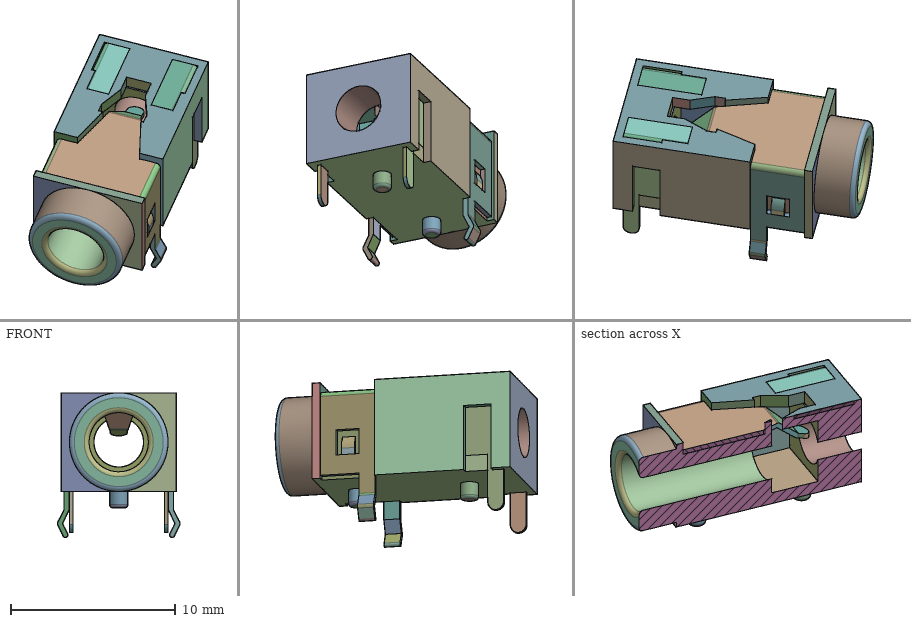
import cadquery as cq
import math


length = 14.9
body_width = 7.0
body_height = 6.0
barrel_length = 2.5
flange_back_y = 3.0
block_front_y = 6.39
mid_z = body_height / 2
barrel_radius = body_height / 2
mouth_round = 0.3
front_bore_radius = 1.8
rear_bore_radius = 1.5

peg_radius = 0.559
peg_length = 1.0
peg_round = 0.2
peg_ys = (4.5, 11.5)

sheet = 0.31
shell_width = 6.68
shell_top_z = 5.5
shell_bottom_z = 0.22
shell_bend_radius = sheet
core_width = shell_width - 2 * sheet
core_top_z = shell_top_z - sheet

tongue_root_half = 2.0
tongue_tip_half = 0.52
tongue_bend_y = 9.52
tongue_bend_radius = 0.22
tongue_crease_radius = sheet
tongue_crease_y = 11.05
tongue_end_y = 11.95
tongue_slope = 43.5
tip_slope = 20.0

leg_width = 1.0
leg_bend_z = -1.13
leg_knee_x = 3.59
leg_knee_z = -1.95
leg_foot_x = 3.25
leg_bottom_z = -2.8
leg_bend_radius = 0.27

opening_y = (3.96, 5.4)
opening_z = (1.45, 3.02)
latch_y = (4.29, 5.11)
latch_shoulder_z = 1.85
latch_top_z = 2.62

notch_end_half = 1.22
window_front_y = 8.91
window_left_x = -1.5
window_left_y = 9.46
window_right_x = 1.39
window_right_y = 9.58
window_narrow_half = 0.79
window_narrow_y = 11.01
window_back_y = 12.08
chamber_back_y = 11.98
chamber_half_width = 2.77
chamber_top_z = core_top_z

contact_thickness = 0.24
contact_outer_x = 3.01
contact_bend_radius = 0.3
contact_back_y = 14.38
pad_inner_x = 1.37
pad_front_y = 10.4
plate_front_y = chamber_back_y
plate_bottom_z = 1.0
pin_width = 1.0
pin_bottom_z = -2.5

recess_back_y = 13.7
recess_height = 4.02


def block(x_range, y_range, z_range):
    """Box between two limits along each axis."""
    (x0, x1), (y0, y1), (z0, z1) = x_range, y_range, z_range
    return cq.Workplane("XY").box(x1 - x0, y1 - y0, z1 - z0, centered=False).translate((x0, y0, z0))


def centred_block(width, y_range, z_range):
    """Box that straddles the mirror plane."""
    return block((-width / 2, width / 2), y_range, z_range)


def y_cylinder(radius, start_y, end_y):
    """Cylinder on the jack axis."""
    return cq.Workplane("XZ", origin=(0, start_y, mid_z)).circle(radius).extrude(start_y - end_y)


def both_sides(right_part):
    """The given +X solid together with its mirror image."""
    return [right_part, right_part.mirror("YZ")]


def tongue_plan(height):
    """Tapered tongue outline with a round tip, extruded up from Z = 0."""
    round_y = tongue_end_y - tongue_tip_half
    return (
        cq.Workplane("XY")
        .moveTo(-tongue_root_half, block_front_y)
        .lineTo(-tongue_tip_half, tongue_crease_y)
        .lineTo(-tongue_tip_half, round_y)
        .threePointArc((0, tongue_end_y), (tongue_tip_half, round_y))
        .lineTo(tongue_tip_half, tongue_crease_y)
        .lineTo(tongue_root_half, block_front_y)
        .close()
        .extrude(height)
    )


def make_tongue():
    """Flat root, steep drop into the bore, then a shallow tip; side profile trimmed to the plan."""
    steep = math.radians(tongue_slope)
    shallow = math.radians(tip_slope)
    crease_z = shell_top_z - (tongue_crease_y - tongue_bend_y) * math.tan(steep)
    end_z = crease_z - (tongue_end_y - tongue_crease_y) * math.tan(shallow)
    bend_shift = sheet * math.tan(steep / 2)
    mean_slope = (steep + shallow) / 2
    crease_offset = sheet / math.cos((steep - shallow) / 2)
    lower_crease = (
        tongue_crease_y - crease_offset * math.sin(mean_slope),
        crease_z - crease_offset * math.cos(mean_slope),
    )
    profile = (
        cq.Workplane("YZ")
        .moveTo(block_front_y, shell_top_z)
        .lineTo(tongue_bend_y, shell_top_z)
        .lineTo(tongue_crease_y, crease_z)
        .lineTo(tongue_end_y, end_z)
        .lineTo(tongue_end_y, end_z - sheet / math.cos(shallow))
        .lineTo(*lower_crease)
        .lineTo(tongue_bend_y - bend_shift, core_top_z)
        .lineTo(block_front_y, core_top_z)
        .close()
        .extrude(tongue_root_half, both=True)
    )
    bend_edge = cq.selectors.NearestToPointSelector((0, tongue_bend_y, shell_top_z))
    profile = profile.edges("|X").edges(bend_edge).fillet(tongue_bend_radius)
    crease_edge = cq.selectors.NearestToPointSelector((0, *lower_crease))
    profile = profile.edges("|X").edges(crease_edge).fillet(tongue_crease_radius)
    return profile.intersect(tongue_plan(body_height))


def make_leg():
    """Right-hand leg: drops from the shell side, kinks outward at the knee and back in at the foot."""
    outer_x = shell_width / 2
    inner_x = outer_x - sheet
    half_sheet = sheet / 2
    foot_z = leg_bottom_z + half_sheet
    foot_angle = math.atan2(leg_knee_x - leg_foot_x, leg_knee_z - foot_z)
    across = (half_sheet * math.cos(foot_angle), -half_sheet * math.sin(foot_angle))
    half_slant = half_sheet / math.cos(foot_angle)
    outer_bend = (outer_x, leg_bend_z)
    outer_knee = (leg_knee_x + half_slant, leg_knee_z)
    leg = (
        cq.Workplane("XZ", origin=(0, block_front_y, 0))
        .moveTo(inner_x, shell_bottom_z)
        .lineTo(inner_x, leg_bend_z)
        .lineTo(leg_knee_x - half_slant, leg_knee_z)
        .lineTo(leg_foot_x - across[0], foot_z - across[1])
        .threePointArc(
            (leg_foot_x + across[1], foot_z - across[0]),
            (leg_foot_x + across[0], foot_z + across[1]),
        )
        .lineTo(*outer_knee)
        .lineTo(*outer_bend)
        .lineTo(outer_x, shell_bottom_z)
        .close()
        .extrude(leg_width)
    )
    mid_y = block_front_y - leg_width / 2
    for x, z in (outer_bend, outer_knee):
        bend_edge = cq.selectors.NearestToPointSelector((x, mid_y, z))
        leg = leg.edges("|Y").edges(bend_edge).fillet(leg_bend_radius)
    return leg


def make_shell():
    span_y = (flange_back_y, block_front_y)
    shell = centred_block(shell_width, span_y, (shell_bottom_z, shell_top_z))
    shell = shell.edges("|Y and >Z").fillet(shell_bend_radius)
    shell = shell.cut(centred_block(core_width, span_y, (0, core_top_z)))
    shell = shell.cut(centred_block(shell_width, opening_y, opening_z))
    for leg in both_sides(make_leg()):
        shell = shell.union(leg)
    return shell.union(make_tongue())


def contact_blank(bend_radius):
    """Right-hand contact: top pad bent down into a side plate with a round-ended pin.

    A bend radius of 0 keeps the outer corner square, which is the shape of the slot in the housing.
    """
    inner_x = contact_outer_x - contact_thickness
    pad_bottom_z = body_height - contact_thickness
    sheet_y = (pad_front_y, contact_back_y)
    blank = block((pad_inner_x, contact_outer_x), sheet_y, (plate_bottom_z, body_height))
    if bend_radius:
        blank = blank.edges("|Y and >X and >Z").fillet(bend_radius)
    blank = blank.cut(block((pad_inner_x, inner_x), sheet_y, (plate_bottom_z, pad_bottom_z)))
    front_y = (pad_front_y, plate_front_y)
    blank = blank.cut(block((inner_x, contact_outer_x), front_y, (plate_bottom_z, body_height)))
    pin_radius = pin_width / 2
    pin_front_y = contact_back_y - pin_width
    pin_round_z = pin_bottom_z + pin_radius
    pin = (
        cq.Workplane("YZ", origin=(inner_x, 0, 0))
        .moveTo(contact_back_y, plate_bottom_z)
        .lineTo(contact_back_y, pin_round_z)
        .threePointArc((contact_back_y - pin_radius, pin_bottom_z), (pin_front_y, pin_round_z))
        .lineTo(pin_front_y, plate_bottom_z)
        .close()
        .extrude(contact_thickness)
    )
    return blank.union(pin)


def tongue_clearance():
    """Notch over the tongue, window around its drop, and the chamber the spring works in."""
    outline = [
        (tongue_root_half, block_front_y),
        (notch_end_half, window_front_y),
        (window_right_x, window_front_y),
        (window_right_x, window_right_y),
        (window_narrow_half, window_narrow_y),
        (window_narrow_half, window_back_y),
        (-window_narrow_half, window_back_y),
        (-window_narrow_half, window_narrow_y),
        (window_left_x, window_left_y),
        (window_left_x, window_front_y),
        (-notch_end_half, window_front_y),
        (-tongue_root_half, block_front_y),
    ]
    opening = (
        cq.Workplane("XY", origin=(0, 0, core_top_z))
        .polyline(outline)
        .close()
        .extrude(body_height - core_top_z)
    )
    chamber = centred_block(
        2 * chamber_half_width,
        (window_front_y, chamber_back_y),
        (body_height - chamber_top_z, chamber_top_z),
    )
    return opening.union(chamber)


def make_latch():
    """Right-hand latch with a rounded lead-in, flush with the outside of the shell."""
    root_x = core_width / 2
    outer_x = shell_width / 2
    lead_in = latch_top_z - latch_shoulder_z
    lead_radius = (sheet**2 + lead_in**2) / (2 * sheet)
    half_angle = math.asin(lead_in / lead_radius) / 2
    arc_mid = (
        outer_x - lead_radius * (1 - math.cos(half_angle)),
        latch_shoulder_z + lead_radius * math.sin(half_angle),
    )
    return (
        cq.Workplane("XZ", origin=(0, latch_y[1], 0))
        .moveTo(root_x, opening_z[0])
        .lineTo(outer_x, opening_z[0])
        .lineTo(outer_x, latch_shoulder_z)
        .threePointArc(arc_mid, (root_x, latch_top_z))
        .close()
        .extrude(latch_y[1] - latch_y[0])
    )


def make_peg(y):
    peg = cq.Workplane("XY", origin=(0, y, 0)).circle(peg_radius).extrude(-peg_length)
    return peg.faces("<Z").edges().fillet(peg_round)


def make_housing():
    barrel = y_cylinder(barrel_radius, 0, barrel_length).faces("<Y").edges().fillet(mouth_round)
    flange = centred_block(body_width, (barrel_length, flange_back_y), (0, body_height))
    core = centred_block(core_width, (flange_back_y, block_front_y), (0, core_top_z))
    rear_block = centred_block(body_width, (block_front_y, length), (0, body_height))
    housing = barrel.union(flange).union(core).union(rear_block)

    housing = housing.cut(y_cylinder(front_bore_radius, 0, chamber_back_y))
    mouth_edge = cq.selectors.RadiusNthSelector(0)
    housing = housing.faces("<Y").edges(mouth_edge).fillet(mouth_round)
    housing = housing.cut(y_cylinder(rear_bore_radius, chamber_back_y, length))
    housing = housing.cut(tongue_clearance())

    side_recess = block(
        (contact_outer_x, body_width / 2), (chamber_back_y, recess_back_y), (0, recess_height)
    )
    contact_slot = contact_blank(0)
    for cutter in both_sides(side_recess) + both_sides(contact_slot):
        housing = housing.cut(cutter)
    for latch in both_sides(make_latch()):
        housing = housing.union(latch)
    for peg_y in peg_ys:
        housing = housing.union(make_peg(peg_y))
    return housing


housing = make_housing()
shell = make_shell()
contacts = both_sides(contact_blank(contact_bend_radius))

result = cq.Compound.makeCompound([housing.val(), shell.val(), *[contact.val() for contact in contacts]])